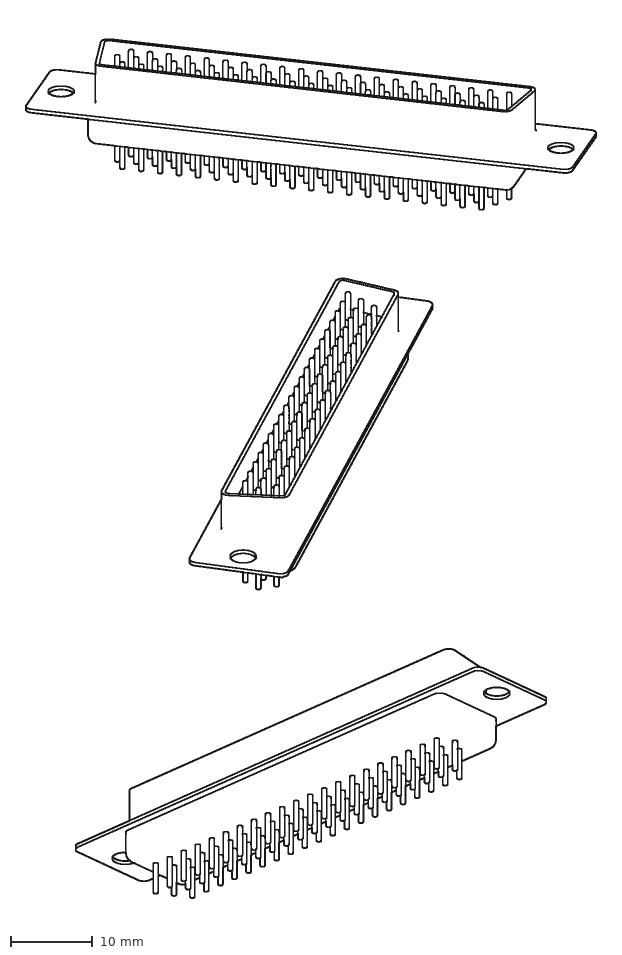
import cadquery as cq
import math

flange_length = 69.4
flange_width = 12.5
flange_thickness = 0.5
flange_corner_radius = 1.0
mount_hole_diameter = 3.2
mount_hole_spacing = 63.5

overall_height = 14.4
shell_height = 5.8
shell_mid_length = 54.05
shell_width = 8.25
shell_wall = 0.5
shell_corner_radius = 1.0
shell_side_angle = 10.0
shell_base_fillet = 0.6
cavity_depth = 3.9

body_length = 54.3
body_width = 10.5
body_height = 4.0
body_corner_radius = 1.05
body_bottom_fillet = 1.2

pin_diameter = 0.64
pin_tip_fillet = 0.2
long_row_span = 48.0
outer_row_spacing = 3.95
pin_top_z = 5.7

flange_bottom_z = -flange_thickness
pin_bottom_z = shell_height - overall_height
pin_length = pin_top_z - pin_bottom_z

long_row_count = 21
pin_pitch = long_row_span / (long_row_count - 1)
row_stagger = pin_pitch / 2
middle_row_start = -long_row_span / 2 - row_stagger / 2
outer_row_start = middle_row_start + row_stagger
pin_rows = [
    (long_row_count, outer_row_start, outer_row_spacing / 2),
    (long_row_count, middle_row_start, 0),
    (long_row_count - 1, outer_row_start, -outer_row_spacing / 2),
]


def d_prism(inset, bottom_z, top_z):
    """Rounded D-shaped prism, its walls set in from the outside of the shell."""
    slant = math.radians(shell_side_angle)
    half_width = shell_width / 2 - inset
    half_mid_length = shell_mid_length / 2 - inset / math.cos(slant)
    run = half_width * math.tan(slant)
    corners = [
        (-half_mid_length - run, half_width),
        (half_mid_length + run, half_width),
        (half_mid_length - run, -half_width),
        (-half_mid_length + run, -half_width),
    ]
    base = cq.Workplane("XY").workplane(offset=bottom_z)
    prism = base.polyline(corners).close().extrude(top_z - bottom_z)
    return prism.edges("|Z").fillet(shell_corner_radius - inset)


def make_flange():
    """Flat plate with rounded corners, its upper face at Z = 0."""
    plate = cq.Workplane("XY").rect(flange_length, flange_width).extrude(-flange_thickness)
    return plate.edges("|Z").fillet(flange_corner_radius)


def make_body():
    """Rectangular block under the flange with rounded corners and bottom edge."""
    block = (
        cq.Workplane("XY")
        .workplane(offset=flange_bottom_z)
        .rect(body_length, body_width)
        .extrude(-body_height)
    )
    return block.edges("|Z").fillet(body_corner_radius).faces("<Z").edges().fillet(body_bottom_fillet)


def fillet_shell_base(solid):
    """Blend the outside of the shell into the upper face of the flange."""
    margin = 0.1
    base_box = cq.selectors.BoxSelector(
        (-shell_mid_length, -shell_width / 2 - margin, -margin),
        (shell_mid_length, shell_width / 2 + margin, margin),
        boundingbox=True,
    )
    return solid.edges(base_box).fillet(shell_base_fillet)


def cut_mount_holes(solid):
    """Mounting hole through the flange at each end."""
    holes = (
        cq.Workplane("XY")
        .pushPoints([(-mount_hole_spacing / 2, 0), (mount_hole_spacing / 2, 0)])
        .circle(mount_hole_diameter / 2)
        .extrude(-flange_thickness)
    )
    return solid.cut(holes)


def make_pins():
    """Three staggered rows of round pins with rounded tips at both ends."""
    pin = (
        cq.Workplane("XY")
        .workplane(offset=pin_bottom_z)
        .circle(pin_diameter / 2)
        .extrude(pin_length)
        .edges()
        .fillet(pin_tip_fillet)
        .val()
    )
    pins = []
    for count, start_x, row_y in pin_rows:
        for i in range(count):
            pins.append(pin.translate(cq.Vector(start_x + i * pin_pitch, row_y, 0)))
    return pins


housing = make_flange().union(d_prism(0, 0, shell_height))
housing = fillet_shell_base(housing).union(make_body())
housing = housing.cut(d_prism(shell_wall, shell_height - cavity_depth, shell_height))
housing = cut_mount_holes(housing)

result = cq.Workplane("XY").newObject([housing.val().fuse(*make_pins())])